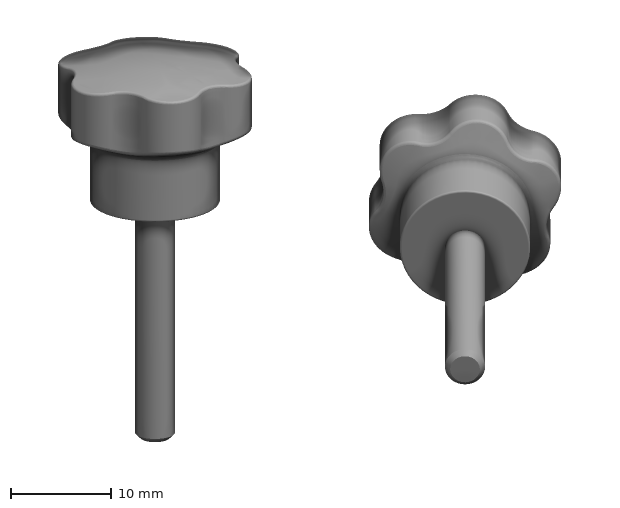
import cadquery as cq
import math

total_height = 40.0
hub_bottom = 25.0

lobe_count = 6
grip_radius = 10.0
lobe_radius = 3.45
hollow_radius = lobe_radius
lobe_center_radius = grip_radius - lobe_radius
dome_drop = 1.15
underside_rim_height = 33.35
underside_angle = 23.0
top_edge_fillet = 0.3
underside_edge_fillet = 0.4

hub_radius = 13.0 / 2
hub_edge_fillet = 0.2
neck_fillet = 0.55
stud_radius = 4.0 / 2
stud_chamfer = 0.5


def polar(radius, angle):
    return (radius * math.cos(angle), radius * math.sin(angle))


def star_outline():
    """Closed star of alternating lobe and hollow arcs, with a lobe on +Y."""
    half_pitch = math.pi / lobe_count
    center_distance = lobe_radius + hollow_radius
    lobe_offset = lobe_center_radius * math.sin(half_pitch)
    hollow_center_radius = lobe_center_radius * math.cos(half_pitch) + math.sqrt(
        center_distance**2 - lobe_offset**2
    )
    hollow_bottom_radius = hollow_center_radius - hollow_radius

    hollow_x, hollow_y = polar(hollow_center_radius, half_pitch)
    share = lobe_radius / center_distance
    joint_x = lobe_center_radius + share * (hollow_x - lobe_center_radius)
    joint_y = share * hollow_y
    joint_radius = math.hypot(joint_x, joint_y)
    joint_angle = math.atan2(joint_y, joint_x)

    first_axis = math.pi / 2
    outline = cq.Workplane("XY").moveTo(*polar(joint_radius, first_axis - joint_angle))
    for index in range(lobe_count):
        axis = first_axis + 2 * index * half_pitch
        next_axis = axis + 2 * half_pitch
        outline = outline.threePointArc(
            polar(grip_radius, axis), polar(joint_radius, axis + joint_angle)
        )
        outline = outline.threePointArc(
            polar(hollow_bottom_radius, axis + half_pitch),
            polar(joint_radius, next_axis - joint_angle),
        )
    return outline.close()


def grip_envelope():
    """Revolved body with a spherical dome above and a cone below."""
    envelope_radius = grip_radius + 0.4
    dome_radius = (grip_radius**2 + dome_drop**2) / (2 * dome_drop)
    dome_center = total_height - dome_radius

    def dome_height(radius):
        return dome_center + math.sqrt(dome_radius**2 - radius**2)

    slope = math.tan(math.radians(underside_angle))
    cone_apex = underside_rim_height - grip_radius * slope
    return (
        cq.Workplane("XZ")
        .moveTo(0, cone_apex)
        .lineTo(envelope_radius, cone_apex + envelope_radius * slope)
        .lineTo(envelope_radius, dome_height(envelope_radius))
        .threePointArc(
            (envelope_radius / 2, dome_height(envelope_radius / 2)), (0, total_height)
        )
        .close()
        .revolve(360, (0, 0, 0), (0, 1, 0))
    )


def make_grip():
    star = star_outline().extrude(total_height)
    grip = star.intersect(grip_envelope())
    grip = grip.faces("<Z").edges().fillet(underside_edge_fillet)
    return grip.faces(">Z").edges().fillet(top_edge_fillet)


def make_hub():
    hub = cq.Workplane("XY").workplane(offset=hub_bottom).circle(hub_radius)
    hub = hub.extrude(underside_rim_height - hub_bottom)
    return hub.faces("<Z").edges().fillet(hub_edge_fillet)


def make_stud():
    stud = cq.Workplane("XY").circle(stud_radius).extrude(underside_rim_height)
    return stud.faces("<Z").edges().chamfer(stud_chamfer)


neck_zone = cq.selectors.BoxSelector(
    (-grip_radius, -grip_radius, hub_bottom + 2 * hub_edge_fillet),
    (grip_radius, grip_radius, underside_rim_height),
)
knob = make_grip().union(make_hub())
knob = knob.edges("%CIRCLE").edges(neck_zone).fillet(neck_fillet)
result = knob.union(make_stud())